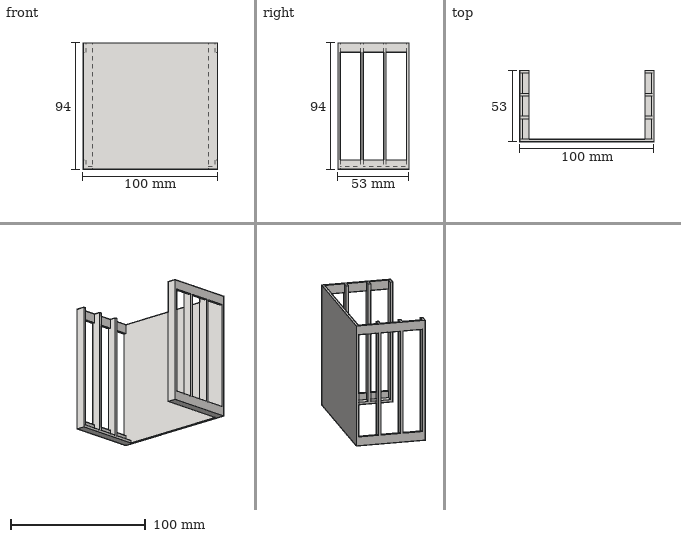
import cadquery as cq

width = 100.0
height = 94.0
wall = 2.0
window_count = 3
window_width = 15.0
border = 7.0
fin_reach = 7.0

window_pitch = window_width + wall
depth = wall + window_count * window_pitch
window_height = height - 2 * border


def box(x, y, z, size_x, size_y, size_z):
    """Box with its lowest corner at (x, y, z)."""
    return cq.Workplane("XY").box(size_x, size_y, size_z, centered=False).translate((x, y, z))


def side_frame():
    """Left side: windowed panel, inward fins and a floor strip."""
    side = box(0, 0, 0, wall, depth, height)
    side = side.union(box(0, 0, 0, fin_reach, depth, wall))
    for i in range(window_count):
        window_y = wall + i * window_pitch
        side = side.cut(box(0, window_y, border, wall, window_width, window_height))
        side = side.union(box(0, window_y + window_width, 0, fin_reach, wall, height))
    return side


front_panel = box(0, 0, 0, width, wall, height)
left_side = side_frame()
right_side = left_side.mirror("YZ", (width / 2, 0, 0))
result = front_panel.union(left_side).union(right_side)